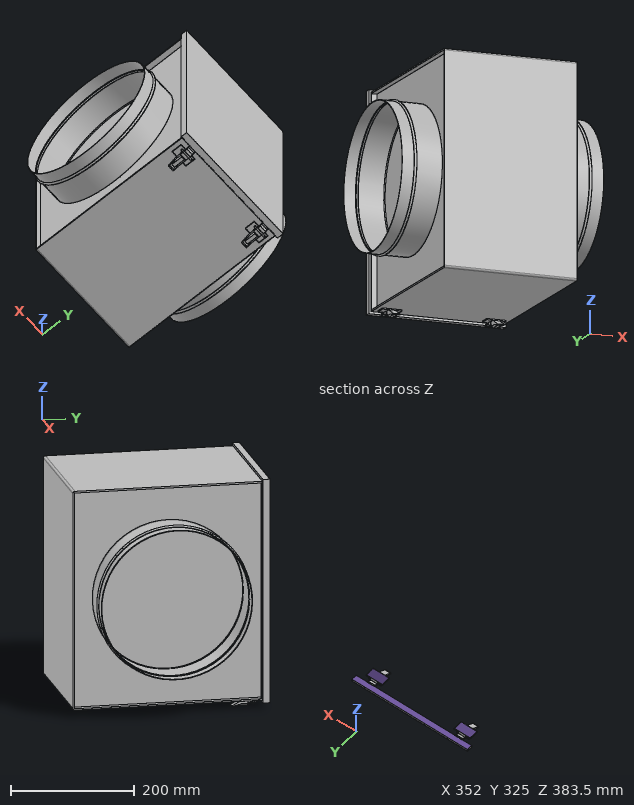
import cadquery as cq

HOUSING_WIDTH = 232.0
HOUSING_HEIGHT = 366.0
HOUSING_DEPTH = 313.0
BEND_RADIUS = 3.5
RIM_THICKNESS = 2.8
FLANGE_THICKNESS = 0.5
PANEL_RECESS = 10.0
PANEL_X = HOUSING_WIDTH / 2 - PANEL_RECESS
HOUSING_BOTTOM = -HOUSING_HEIGHT / 2

COVER_THICKNESS = 12.0
COVER_OVERHANG = 4.0
COVER_WIDTH = HOUSING_WIDTH + 2 * COVER_OVERHANG
COVER_HEIGHT = HOUSING_HEIGHT + 2 * COVER_OVERHANG

SPIGOT_LENGTH = 60.0
SPIGOT_RADIUS = 125.0
SPIGOT_WALL = 1.0
SPIGOT_CENTRE_Y = 159.0
BORE_STEP = 2.0
SPIGOT_END_X = HOUSING_WIDTH / 2 + SPIGOT_LENGTH
BEAD_RADIUS = 2.5
BEAD_END_DISTANCE = 23.0
BEAD_X = SPIGOT_END_X - BEAD_END_DISTANCE

LATCH_SPACING = 182.0
LATCH_DROP = 13.51
BASE_WIDTH = 34.0
BASE_START = 10.0
BASE_END = 29.0
BASE_THICKNESS = 2.0
BODY_WIDTH = 14.0
BODY_END = 20.0
BODY_BOTTOM = -7.5
PIVOT_LENGTH = 25.0
PIVOT_RADIUS = 1.5
PIVOT_DISTANCE = 13.0
PIVOT_Z = -7.5
HOOK_WIDTH = 14.0
HOOK_SECTION = [(0, -2), (3, -2), (11, -6), (11, -8), (6, -7), (3, -4), (0, -4)]
LEVER_WIDTH = 12.0
LEVER_TIP = 46.5
LEVER_UNDERSIDE = -12.5
LEVER_CHAMFER_HEIGHT = 3.5
LEVER_CHAMFER_WIDTH = 2.0
LEVER_SECTION = [
    (BODY_END, -BASE_THICKNESS),
    (BASE_END, -BASE_THICKNESS),
    (LEVER_TIP, -12),
    (LEVER_TIP, -LATCH_DROP),
    (44, -LATCH_DROP),
    (41, LEVER_UNDERSIDE),
    (BODY_END, LEVER_UNDERSIDE),
]


def make_box(width, depth, height):
    """Box centred on X and Z with its front face at Y = 0."""
    return cq.Workplane("XY").box(width, depth, height, centered=(True, False, True))


def make_spigot():
    """Beaded tube standing on the +X side panel."""
    inner_radius = SPIGOT_RADIUS - SPIGOT_WALL
    groove_radius = BEAD_RADIUS - SPIGOT_WALL
    return (
        cq.Workplane("XZ")
        .moveTo(PANEL_X, inner_radius)
        .lineTo(BEAD_X - groove_radius, inner_radius)
        .threePointArc((BEAD_X, inner_radius + groove_radius), (BEAD_X + groove_radius, inner_radius))
        .lineTo(SPIGOT_END_X, inner_radius)
        .lineTo(SPIGOT_END_X, SPIGOT_RADIUS)
        .lineTo(BEAD_X + BEAD_RADIUS, SPIGOT_RADIUS)
        .threePointArc((BEAD_X, SPIGOT_RADIUS + BEAD_RADIUS), (BEAD_X - BEAD_RADIUS, SPIGOT_RADIUS))
        .lineTo(PANEL_X, SPIGOT_RADIUS)
        .close()
        .revolve(360, (0, 0, 0), (1, 0, 0))
        .translate((0, SPIGOT_CENTRE_Y, 0))
    )


def make_bore_step():
    """Shallow disc that sinks the bore of the spigot into the +X side panel."""
    return (
        cq.Workplane("YZ", origin=(PANEL_X - BORE_STEP, SPIGOT_CENTRE_Y, 0))
        .circle(SPIGOT_RADIUS - SPIGOT_WALL)
        .extrude(BORE_STEP)
    )


def make_housing():
    """Housing with its recessed side panels, back cover and both spigots."""
    housing = make_box(HOUSING_WIDTH, HOUSING_DEPTH, HOUSING_HEIGHT)
    housing = housing.edges("|X and <Y").fillet(BEND_RADIUS)

    recess_depth = HOUSING_DEPTH - RIM_THICKNESS - FLANGE_THICKNESS
    recess_height = HOUSING_HEIGHT - 2 * RIM_THICKNESS
    recess = make_box(PANEL_RECESS, recess_depth, recess_height)
    recess_x = HOUSING_WIDTH / 2 - PANEL_RECESS / 2
    for side in (-1, 1):
        housing = housing.cut(recess.translate((side * recess_x, RIM_THICKNESS, 0)))

    cover = make_box(COVER_WIDTH, COVER_THICKNESS, COVER_HEIGHT)
    housing = housing.union(cover.translate((0, HOUSING_DEPTH, 0)))

    spigot = make_spigot()
    bore_step = make_bore_step()
    housing = housing.cut(bore_step).cut(bore_step.mirror("YZ"))
    return housing.union(spigot).union(spigot.mirror("YZ"))


def extrude_latch_section(section, width):
    """Extrude a latch side section to a width centred on X."""
    points = [(HOUSING_DEPTH - forward, HOUSING_BOTTOM + height) for forward, height in section]
    return cq.Workplane("YZ").polyline(points).close().extrude(width / 2, both=True)


def latch_block(start, end, bottom, width):
    """Latch block hanging from the housing bottom."""
    return extrude_latch_section([(start, 0), (end, 0), (end, bottom), (start, bottom)], width)


def make_latch(x):
    """Toggle latch at a given X, hooked against the cover."""
    base = latch_block(BASE_START, BASE_END, -BASE_THICKNESS, BASE_WIDTH)
    body = latch_block(BASE_START, BODY_END, BODY_BOTTOM, BODY_WIDTH)
    pivot = (
        cq.Workplane("YZ")
        .center(HOUSING_DEPTH - PIVOT_DISTANCE, HOUSING_BOTTOM + PIVOT_Z)
        .circle(PIVOT_RADIUS)
        .extrude(PIVOT_LENGTH / 2, both=True)
    )
    hook = extrude_latch_section(HOOK_SECTION, HOOK_WIDTH)
    lever = extrude_latch_section(LEVER_SECTION, LEVER_WIDTH)
    underside = lever.faces("<Z[1]")
    lever = underside.edges("|Y").chamfer(LEVER_CHAMFER_HEIGHT, LEVER_CHAMFER_WIDTH)
    latch = base.union(body).union(pivot).union(hook).union(lever)
    return latch.translate((x, 0, 0))


housing = make_housing()
latches = [make_latch(side * LATCH_SPACING / 2) for side in (-1, 1)]

result = cq.Compound.makeCompound([housing.val(), *[latch.val() for latch in latches]])